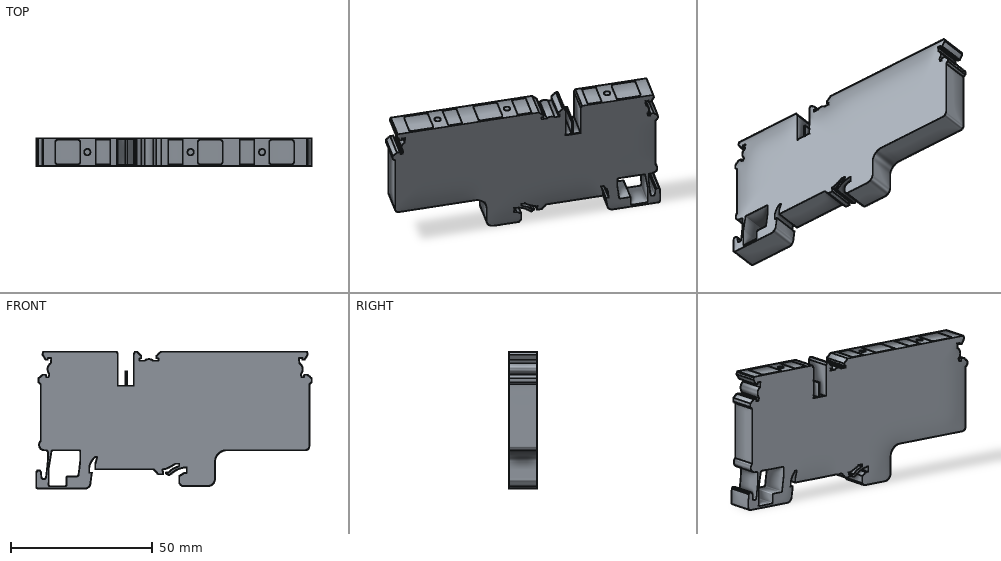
import cadquery as cq
import math

depth = 10.0
top = 48.5
body_bottom = 13.6
body_left = 1.7
latch_axis = 49.2
body_right = 2 * latch_axis - body_left

slot_left, slot_right, slot_floor = 29.0, 34.6, 36.4
slot_lead_in = 0.5
slot_lead_in_height = 0.9
blade_center, blade_thickness, blade_top = 31.9, 0.6, 41.6

groove_axis, groove_floor = 39.9, 45.3
groove_bump_half_width = 1.5
groove_bump_height = 0.6

rail_z = 6.8
foot_bottom, foot_right = 0.9, 63.4
foot_radius = 2.6
inner_corner_radius = 4.1
body_corner_radius = 1.6
hook_corner_radius = 0.9
bump_top, bump_corner_radius = 16.9, 0.8
spring_left = 4.2
window_corner_radius = 0.5

recess_depth = 0.1
edge_margin = 0.63
slot_rim = 0.5
recess_width = depth - 2 * edge_margin
screw_window_length, screw_window_radius = 8.8, 0.9
test_window_length = 5.1
test_hole_diameter = 2.2
hole_to_screw_window = 6.9
terminals = [(18.2, -1, 5.6), (54.7, 1, 5.4), (80.0, 1, 5.4)]

DIAGONAL = math.sqrt(0.5)


def mirrored(points, axis):
    """Reflect points about a vertical line and reverse their order."""
    return [(2 * axis - x, z) for x, z in reversed(points)]


def lines(path, points):
    for point in points:
        path = path.lineTo(*point)
    return path


def quarter_arc(path, center, radius, start_sign, end):
    """Round a corner through the point of the circle that faces start_sign."""
    middle = (center[0] + start_sign[0] * radius * DIAGONAL,
              center[1] + start_sign[1] * radius * DIAGONAL)
    return path.threePointArc(middle, end)


latch_lower = [
    (body_left, 36.9), (0.9, 37.7), (0.8, 38.3), (0.9, 39.1), (2.3, 40.3), (3.5, 40.3), (3.7, 39.45),
    (4.4, 39.45), (4.7, 40.4), (4.3, 41.2),
]
latch_bulge = [(4.1, 42.9), (5.2, 44.3)]
latch_upper = [
    (5.4, 46.2), (4.2, 46.2), (4.2, 45.6), (3.4, 45.6), (2.2, 47.5), (2.4, 48.2), (2.6, top),
]

groove_left = [
    (35.6, top), (37.3, 47.0), (37.3, 46.1), (36.6, 46.1), (36.6, groove_floor),
    (groove_axis - groove_bump_half_width, groove_floor),
]


def add_top(path):
    """Left latch, tool slot, snap groove and right latch, from left to right."""
    path = lines(path, latch_lower)
    path = path.threePointArc(*latch_bulge)
    path = lines(path, latch_upper)
    path = lines(path, [
        (slot_left - slot_lead_in, top),
        (slot_left, top - slot_lead_in_height),
        (slot_left, slot_floor),
        (slot_right, slot_floor),
        (slot_right, top - slot_lead_in_height),
        (slot_right + slot_lead_in, top),
    ])
    path = lines(path, groove_left)
    groove_right = mirrored(groove_left, groove_axis)
    path = path.threePointArc((groove_axis, groove_floor + groove_bump_height), groove_right[0])
    path = lines(path, groove_right[1:])
    path = lines(path, mirrored(latch_upper, latch_axis))
    bulge_start, bulge_middle, bulge_end = mirrored([latch_lower[-1], *latch_bulge], latch_axis)
    path = path.lineTo(*bulge_start)
    path = path.threePointArc(bulge_middle, bulge_end)
    return lines(path, mirrored(latch_lower[:-1], latch_axis))


def add_right_foot(path):
    """Rounded body corner, the step down to the right foot, and the foot."""
    r = body_corner_radius
    path = path.lineTo(body_right, body_bottom + r)
    path = quarter_arc(path, (body_right - r, body_bottom + r), r, (1, -1), (body_right - r, body_bottom))
    r = inner_corner_radius
    path = path.lineTo(foot_right + r, body_bottom)
    path = quarter_arc(path, (foot_right + r, body_bottom - r), r, (-1, 1), (foot_right, body_bottom - r))
    r = foot_radius
    path = path.lineTo(foot_right, foot_bottom + r)
    path = quarter_arc(path, (foot_right - r, foot_bottom + r), r, (1, -1), (foot_right - r, foot_bottom))
    return lines(path, [
        (51.7, foot_bottom), (50.7, 1.9), (50.7, 4.5), (52.4, 5.6), (53.3, 5.6), (53.3, 7.5),
    ])


def add_spring_tongue(path):
    """Thin tongue over the right foot and the slit that frees it from the body."""
    path = path.threePointArc((50.5, 6.9), (49.1, 6.25))
    path = lines(path, [(47.1, 4.7), (45.9, 5.5), (46.1, 5.8), (46.9, 5.8), (48.3, 7.0)])
    path = lines(path, [(50.6, 8.0), (50.7, 8.8), (49.3, 8.8)])
    path = path.threePointArc((47.75, 7.8), (46.1, 7.0))
    return lines(path, [(44.7, 6.7), (45.0, 5.8), (45.0, 5.1), (43.3, 5.1), (41.6, rail_z)])


def add_left_foot(path):
    """Rail recess, rounded toe, hook and the bump under the left side."""
    path = lines(path, [(20.9, rail_z), (20.9, 8.6), (21.6, 11.1), (20.8, 11.1)])
    path = path.threePointArc((19.7, 9.8), (18.9, 8.0))
    path = lines(path, [(18.8, 5.7), (19.8, 5.7), (19.3, 2.3)])
    path = path.threePointArc((18.7, 0.7), (17.5, 0))
    r = hook_corner_radius
    path = path.lineTo(r, 0)
    path = quarter_arc(path, (r, r), r, (-1, -1), (0, r))
    path = lines(path, [(0, 4.1), (0.1, 6.0), (0.5, 6.4), (1.4, 6.4), (1.8, 6.0), (2.0, 4.1)])
    path = path.threePointArc((2.7, 3.4), (3.5, 4.1))
    path = lines(path, [(4.0, 8.3), (spring_left, 10.6), (spring_left, body_bottom - bump_corner_radius)])
    r = bump_corner_radius
    corner_x = spring_left - r
    path = quarter_arc(path, (corner_x, body_bottom - r), r, (1, 1), (corner_x, body_bottom))
    path = path.lineTo(2.8, body_bottom)
    return path.threePointArc((1.1, 15.1), (body_left, bump_top))


def make_body():
    path = cq.Workplane("XZ").moveTo(body_left, bump_top)
    path = add_top(path)
    path = add_right_foot(path)
    path = add_spring_tongue(path)
    path = add_left_foot(path)
    return path.close().extrude(-depth)


def make_foot_window():
    """Stepped opening that runs through the left foot."""
    outline = [
        (4.5, foot_bottom), (10.7, foot_bottom), (10.7, 4.4), (14.9, 4.4), (15.6, 9.8), (15.6, body_bottom),
        (5.6, body_bottom), (4.6, 7.6),
    ]
    window = cq.Workplane("XZ").polyline(outline).close().extrude(-depth)
    return window.edges("|Y").fillet(window_corner_radius)


def recess(center_x, size_x, surface_z, size_y=recess_width):
    """Shallow rectangular cutter centred across the depth."""
    box = cq.Workplane("XY").box(size_x, size_y, recess_depth)
    return box.translate((center_x, depth / 2, surface_z - recess_depth / 2))


def cut_terminal(body, hole_x, screw_side, test_distance):
    screw = recess(hole_x + screw_side * hole_to_screw_window, screw_window_length, top)
    screw = screw.edges("|Z").fillet(screw_window_radius)
    test = recess(hole_x - screw_side * test_distance, test_window_length, top)
    hole = cq.Workplane("XY", origin=(hole_x, depth / 2, top - recess_depth))
    hole = hole.circle(test_hole_diameter / 2).extrude(recess_depth)
    return body.cut(screw).cut(test).cut(hole)


def add_blade(body):
    """Sink the slot floor inside a thin rim and stand the blade on it."""
    slot_center = (slot_left + slot_right) / 2
    blade_width = depth - 2 * slot_rim
    body = body.cut(recess(slot_center, slot_right - slot_left, slot_floor, blade_width))
    blade_bottom = slot_floor - recess_depth
    blade = cq.Workplane("XY").box(blade_thickness, blade_width, blade_top - blade_bottom)
    blade = blade.translate((blade_center, depth / 2, (blade_top + blade_bottom) / 2))
    return body.union(blade)


result = make_body().cut(make_foot_window())
for terminal in terminals:
    result = cut_terminal(result, *terminal)
result = add_blade(result)